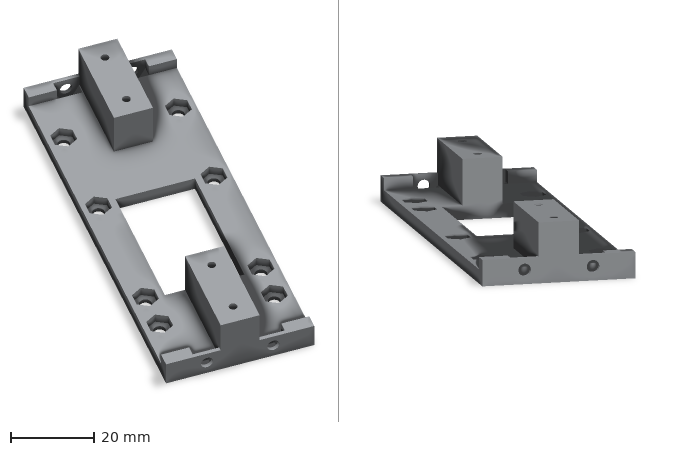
import cadquery as cq
import math

length = 100
width = 38
height = 15

deck_height = 3.5
lip_height = 6.5
lip_width = 3.5

block_length = 25
block_width = 10
block_hole_diameter = 2.1
block_hole_inset = 5
block_hole_spacing = 15

window_length = 34.7
window_width = 20.4
window_right = length / 2 - block_length

screw_diameter = 3.1
nut_across_flats = 5.7
nut_across_corners = nut_across_flats / math.cos(math.pi / 6)
nut_recess_depth = 2.4
wide_pair_x = 33.7
wide_pair_y = 14.7
window_screw_left = -9
window_screw_right = 24
window_screw_y = 14.8

lip_screw_y = 8.5
lip_screw_z = deck_height
lip_wall = 1
lip_slot_opening = 6.8


def upright_box(size_x, size_y, bottom, top, center_x=0, center_y=0):
    """Box centred on a point in plan, between two heights."""
    box = cq.Workplane("XY").box(size_x, size_y, top - bottom, centered=(True, True, False))
    return box.translate((center_x, center_y, bottom))


def deck_screw_holes():
    """Through holes with a nut recess sunk into the deck."""
    points = []
    for side in (-1, 1):
        points.append((-wide_pair_x, side * wide_pair_y))
        points.append((wide_pair_x, side * wide_pair_y))
        points.append((window_screw_left, side * window_screw_y))
        points.append((window_screw_right, side * window_screw_y))
    holes = cq.Workplane("XY").pushPoints(points).circle(screw_diameter / 2).extrude(deck_height)
    recesses = (
        cq.Workplane("XY", origin=(0, 0, deck_height - nut_recess_depth))
        .pushPoints(points)
        .polygon(6, nut_across_corners)
        .extrude(nut_recess_depth)
    )
    return holes.union(recesses)


def lip_screw_cut(end, side):
    """Screw hole along X and its nut slot in the lip at one end."""
    center_y = side * lip_screw_y
    slot_depth = lip_width - lip_wall
    slot_center_x = end * (length / 2 - lip_wall - slot_depth / 2)
    slot_center_y = side * (block_width + lip_slot_opening) / 2
    hole = (
        cq.Workplane("YZ", origin=(end * (length - lip_width) / 2, center_y, lip_screw_z))
        .circle(screw_diameter / 2)
        .extrude(lip_width / 2, both=True)
    )
    nut = (
        cq.Workplane("YZ", origin=(slot_center_x, center_y, lip_screw_z))
        .polygon(6, nut_across_corners)
        .extrude(slot_depth / 2, both=True)
    )
    slot = upright_box(slot_depth, lip_slot_opening, lip_screw_z, lip_height, slot_center_x, slot_center_y)
    return hole.union(nut).union(slot)


body = upright_box(length, width, 0, deck_height)
for end in (-1, 1):
    lip_x = end * (length - lip_width) / 2
    block_x = end * (length - block_length) / 2
    body = body.union(upright_box(lip_width, width, 0, lip_height, lip_x))
    body = body.union(upright_box(block_length, block_width, 0, height, block_x))

window_x = window_right - window_length / 2
body = body.cut(upright_box(window_length, window_width, 0, deck_height, window_x))
body = body.cut(deck_screw_holes())

outer_hole_x = length / 2 - block_hole_inset
inner_hole_x = outer_hole_x - block_hole_spacing
for end in (-1, 1):
    for side in (-1, 1):
        body = body.cut(lip_screw_cut(end, side))
    block_holes = (
        cq.Workplane("XY")
        .pushPoints([(end * outer_hole_x, 0), (end * inner_hole_x, 0)])
        .circle(block_hole_diameter / 2)
        .extrude(height)
    )
    body = body.cut(block_holes)

result = body